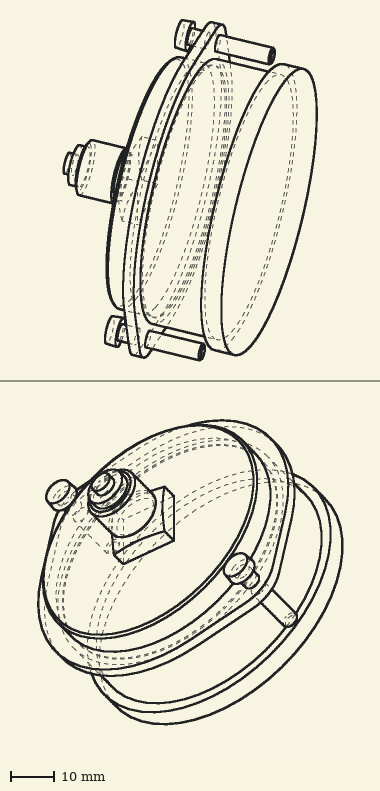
import cadquery as cq
import math


PILOT_START = 1.9
THREAD_START = 4.0
THREAD_END = 13.4
SQUARE_START = 15.0
CASE_START = 19.65
FLANGE_START = 25.65
FLANGE_END = 28.25
BODY_START = 28.65
BEZEL_START = 44.4
BEZEL_END = 49.3

TIP_DIAMETER = 5.0
PILOT_DIAMETER = 9.5
THREAD_DIAMETER = 13.15
THREAD_CHAMFER_LENGTH = 0.9
THREAD_CHAMFER_DEPTH = 0.55
THREAD_END_CHAMFER = 0.4
GROOVE_DIAMETER = 11.0
GROOVE_FILLET = 0.4
SQUARE_SIDE = 14.1
SQUARE_CHAMFER_ANGLE = 15

CASE_DIAMETER = 59.9
CASE_CHAMFER = 0.6
BODY_DIAMETER = 63.0
BEZEL_DIAMETER = 68.0

FLANGE_RADIUS = 34.95
EAR_RADIUS = 9.85
EAR_OFFSET = 21

SCREW_OFFSET = 24.8
SCREW_START = 18.9
SCREW_END = 41.65
SCREW_DIAMETER = 4.0
SCREW_CHAMFER = 0.4
HEAD_LENGTH = 2.65
HEAD_FACE_DIAMETER = 6.6
HEAD_BASE_DIAMETER = 7

OPPOSITE_SIDES = (1, -1)


def plane_at(x):
    """Plane facing +X, with local x along Y and local y along Z."""
    return cq.Workplane("YZ", origin=(x, 0, 0))


def cylinder(start, end, diameter):
    return plane_at(start).circle(diameter / 2).extrude(end - start)


def make_case():
    neck = cylinder(CASE_START, BODY_START, CASE_DIAMETER).faces("<X").chamfer(CASE_CHAMFER)
    body = cylinder(BODY_START, BEZEL_START, BODY_DIAMETER)
    bezel = cylinder(BEZEL_START, BEZEL_END, BEZEL_DIAMETER)
    return neck.union(body).union(bezel)


def make_square():
    """Wrench square whose corners are turned back by a shallow cone."""
    length = CASE_START - SQUARE_START
    square = plane_at(SQUARE_START).rect(SQUARE_SIDE, SQUARE_SIDE).extrude(length)
    face_radius = SQUARE_SIDE / 2
    cone_radius = face_radius + length / math.tan(math.radians(SQUARE_CHAMFER_ANGLE))
    cone = (
        plane_at(SQUARE_START).circle(face_radius)
        .workplane(offset=length).circle(cone_radius)
        .loft(ruled=True)
    )
    return square.intersect(cone)


def make_connection():
    tip = cylinder(0, PILOT_START, TIP_DIAMETER)
    pilot = cylinder(PILOT_START, THREAD_START, PILOT_DIAMETER)
    thread = cylinder(THREAD_START, THREAD_END, THREAD_DIAMETER)
    thread = thread.faces("<X").chamfer(THREAD_CHAMFER_DEPTH, THREAD_CHAMFER_LENGTH)
    thread = thread.faces(">X").chamfer(THREAD_END_CHAMFER)
    return tip.union(pilot).union(thread).union(make_relief_groove()).union(make_square())


def make_relief_groove():
    """Thread relief with a concave fillet at each end."""
    radius = GROOVE_DIAMETER / 2
    shoulder = radius + GROOVE_FILLET
    bend = GROOVE_FILLET * (1 - math.sqrt(0.5))
    profile = (
        cq.Workplane("XY")
        .moveTo(THREAD_END, 0)
        .lineTo(THREAD_END, shoulder)
        .threePointArc((THREAD_END + bend, radius + bend), (THREAD_END + GROOVE_FILLET, radius))
        .lineTo(SQUARE_START - GROOVE_FILLET, radius)
        .threePointArc((SQUARE_START - bend, radius + bend), (SQUARE_START, shoulder))
        .lineTo(SQUARE_START, 0)
        .close()
    )
    return profile.revolve(360, (0, 0, 0), (1, 0, 0))


def make_flange():
    """Disc joined to both ears by straight edges tangent to disc and ear."""
    thickness = FLANGE_END - FLANGE_START
    flange = cylinder(FLANGE_START, FLANGE_END, 2 * FLANGE_RADIUS)
    ear_distance = EAR_OFFSET * math.sqrt(2)
    spread = math.acos((FLANGE_RADIUS - EAR_RADIUS) / ear_distance)
    low = math.pi / 4 - spread
    high = math.pi / 4 + spread
    tip = (ear_distance + EAR_RADIUS) * math.sqrt(0.5)
    for side in OPPOSITE_SIDES:

        def tangent_point(center, radius, angle):
            return (
                side * (center + radius * math.cos(angle)),
                side * (center + radius * math.sin(angle)),
            )

        ear = (
            plane_at(FLANGE_START)
            .lineTo(*tangent_point(0, FLANGE_RADIUS, low))
            .lineTo(*tangent_point(EAR_OFFSET, EAR_RADIUS, low))
            .threePointArc((side * tip, side * tip), tangent_point(EAR_OFFSET, EAR_RADIUS, high))
            .lineTo(*tangent_point(0, FLANGE_RADIUS, high))
            .close()
            .extrude(thickness)
        )
        flange = flange.union(ear)
    return flange


def make_screw():
    head = (
        plane_at(SCREW_START).circle(HEAD_FACE_DIAMETER / 2)
        .workplane(offset=HEAD_LENGTH).circle(HEAD_BASE_DIAMETER / 2)
        .loft(ruled=True)
    )
    shank = cylinder(SCREW_START + HEAD_LENGTH, SCREW_END, SCREW_DIAMETER)
    return head.union(shank.faces(">X").chamfer(SCREW_CHAMFER))


result = make_case().union(make_flange()).union(make_connection())
for side in OPPOSITE_SIDES:
    result = result.union(make_screw().translate((0, side * SCREW_OFFSET, side * SCREW_OFFSET)))